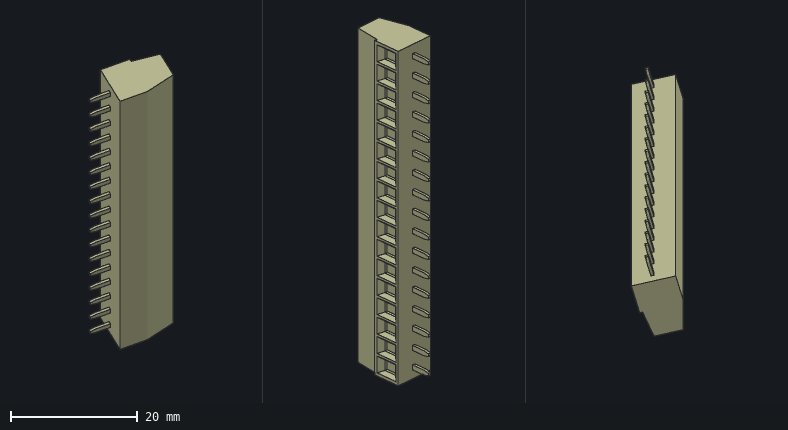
import cadquery as cq

pole_count = 17
pitch = 3.5
end_margin = 0.35
housing_length = pole_count * pitch + 2 * end_margin

housing_width = 7.3
housing_depth = 10.0
shelf_height = 5.2
shelf_width = 0.5
back_slope_start = 4.8
entry_side_inset = 1.1
back_side_inset = 1.4

entry_width = 4.2
entry_height = 3.0
entry_offset = 0.45
funnel_depth = 0.8
socket_depth = 0.5
socket_width = 2.3
socket_height = 2.0

pin_length = 3.5
pin_thickness = 0.5
pin_width = 0.9
pin_x = 3.5
tip_length = 1.0
tip_width = 0.5

pole_heights = [end_margin + pitch * (index + 0.5) for index in range(pole_count)]


def make_housing():
    """Extrude the housing cross-section along Z, with the pin face on Y = 0."""
    return (
        cq.Workplane("XY")
        .moveTo(0, 0)
        .lineTo(housing_width, 0)
        .lineTo(housing_width, back_slope_start)
        .lineTo(housing_width - back_side_inset, housing_depth)
        .lineTo(entry_side_inset, housing_depth)
        .lineTo(shelf_width, shelf_height)
        .lineTo(0, shelf_height)
        .close()
        .extrude(housing_length)
    )


def make_entry(z):
    """Rectangular funnel from the -X face, continued by a straight flat-bottomed socket."""
    center_y = entry_offset + entry_width / 2
    funnel = (
        cq.Workplane("YZ")
        .center(center_y, z)
        .rect(entry_width, entry_height)
        .workplane(offset=funnel_depth)
        .rect(socket_width, socket_height)
        .loft(ruled=True)
    )
    socket = (
        cq.Workplane("YZ", origin=(funnel_depth, center_y, z))
        .rect(socket_width, socket_height)
        .extrude(socket_depth)
    )
    return funnel.union(socket)


def make_pin(z):
    """Flat pin along -Y whose end tapers in the Z direction."""
    shank_end = tip_length - pin_length
    return (
        cq.Workplane("YZ", origin=(pin_x - pin_thickness / 2, 0, z))
        .moveTo(0, -pin_width / 2)
        .lineTo(shank_end, -pin_width / 2)
        .lineTo(-pin_length, -tip_width / 2)
        .lineTo(-pin_length, tip_width / 2)
        .lineTo(shank_end, pin_width / 2)
        .lineTo(0, pin_width / 2)
        .close()
        .extrude(pin_thickness)
    )


result = make_housing()
for pole_z in pole_heights:
    result = result.cut(make_entry(pole_z))
    result = result.union(make_pin(pole_z))